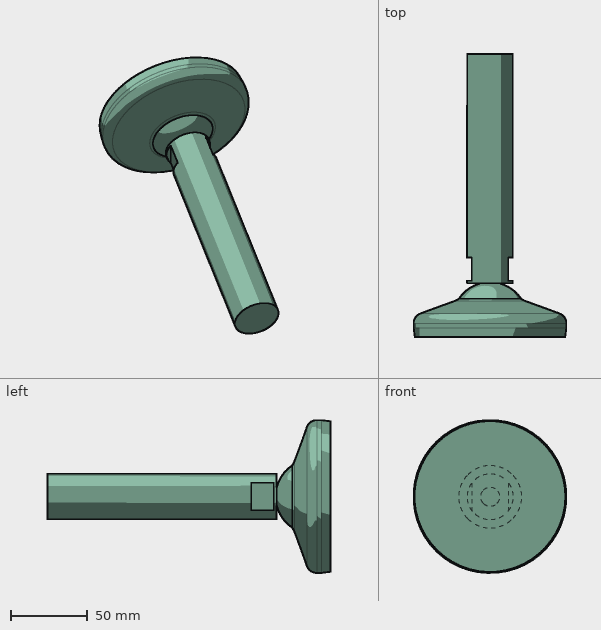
import cadquery as cq
import math

TOTAL_LENGTH = 185.0

PAD_RADIUS = 50.0
PAD_BOTTOM_RADIUS = 49.2
PAD_TAPER_TOP = 6.2
PAD_RIM_TOP = 9.0
SHOULDER_RADIUS = 7.0
CONE_ANGLE = math.radians(20)
CONE_TOP_RADIUS = 22.5

DOME_BASE_RADIUS = 20.5
DOME_BASE_HEIGHT = 25.0
DOME_TOP_HEIGHT = 36.0

STEM_RADIUS = 15.0
STEM_BOTTOM = 35.2

WIDTH_ACROSS_FLATS = 24.0
FLAT_LENGTH = 15.0
COLLAR_LENGTH = 1.8


def shoulder_point(angle):
    """Point on the shoulder arc, with the angle measured from the radial direction."""
    return (
        PAD_RADIUS - SHOULDER_RADIUS + SHOULDER_RADIUS * math.cos(angle),
        PAD_RIM_TOP + SHOULDER_RADIUS * math.sin(angle),
    )


def dome_point(radius):
    """Point on the spherical dome at the given distance from the axis."""
    rise = DOME_TOP_HEIGHT - DOME_BASE_HEIGHT
    ball_radius = (DOME_BASE_RADIUS**2 + rise**2) / (2 * rise)
    ball_centre = DOME_TOP_HEIGHT - ball_radius
    return (radius, ball_centre + math.sqrt(ball_radius**2 - radius**2))


def make_foot():
    """Pad and dome as one revolved profile."""
    arc_end_angle = math.pi / 2 - CONE_ANGLE
    shoulder_end = shoulder_point(arc_end_angle)
    cone_top_height = shoulder_end[1] + (shoulder_end[0] - CONE_TOP_RADIUS) * math.tan(CONE_ANGLE)
    return (
        cq.Workplane("XY")
        .lineTo(PAD_BOTTOM_RADIUS, 0)
        .lineTo(PAD_RADIUS, PAD_TAPER_TOP)
        .lineTo(PAD_RADIUS, PAD_RIM_TOP)
        .threePointArc(shoulder_point(arc_end_angle / 2), shoulder_end)
        .lineTo(CONE_TOP_RADIUS, cone_top_height)
        .lineTo(DOME_BASE_RADIUS, DOME_BASE_HEIGHT)
        .threePointArc(dome_point(DOME_BASE_RADIUS / 2), (0, DOME_TOP_HEIGHT))
        .close()
        .revolve(360, (0, 0, 0), (0, 1, 0))
    )


def make_stem():
    """Round stem with two opposite wrench flats near its lower end."""
    stem_length = TOTAL_LENGTH - STEM_BOTTOM
    stem = (
        cq.Workplane("XZ", origin=(0, STEM_BOTTOM, 0))
        .circle(STEM_RADIUS)
        .extrude(-stem_length)
    )
    flat_middle = STEM_BOTTOM + COLLAR_LENGTH + FLAT_LENGTH / 2
    cutter_depth = STEM_RADIUS
    cutter_offset = (WIDTH_ACROSS_FLATS + cutter_depth) / 2
    cutter = cq.Workplane("XY").box(cutter_depth, FLAT_LENGTH, 2 * STEM_RADIUS)
    for side in (-1, 1):
        stem = stem.cut(cutter.translate((side * cutter_offset, flat_middle, 0)))
    return stem


result = make_foot().union(make_stem())